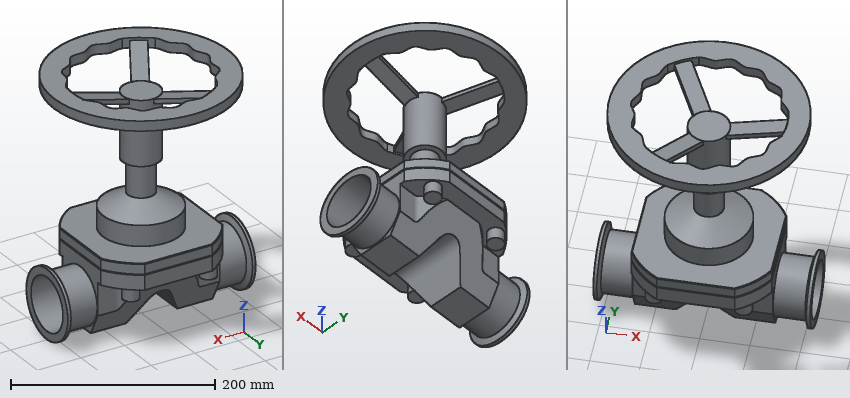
import cadquery as cq
import math

length = 216.0
pipe_diameter = 63.5
bore_diameter = 59.5
ferrule_diameter = 77.5
ferrule_rim = 3.7
ferrule_length = 6.3
pipe_axis_z = ferrule_diameter / 2

body_half_length = 70.0
body_half_width = 33.0
body_bottom_z = 5.3
body_top_z = 66.5
bowl_radius = 56.5
bowl_fillet = 7.4
pick_margin = 0.3
side_lean = 27.5
side_foot_y = 20.0
arch_half_width = 29.5
arch_slope = 60.0
arch_radius = 14.5

bore_depth = length / 2 - body_half_length

flange_half_width = body_half_length
flange_corner_radius = 80.0
seam_z = 83.4
seam_height = 0.8
seam_depth = 0.5
flange_top_z = 95.7
flange_chamfer = 0.8

bolt_diameter = 18.0
bolt_length = 14.2
bolt_x = 44.5
bolt_y = 53.0

bonnet_diameter = 87.0
bonnet_shoulder_z = 118.9
stem_diameter = 30.0
cone_top_z = 134.0
hub_diameter = 42.0
hub_bottom_z = 172.0
hub_top_z = 244.8

wheel_diameter = 199.0
wheel_top_z = 263.0
wheel_thickness = 11.0
lobe_count = 15
lobe_peak_radius = 79.0
lobe_valley_radius = 72.3
lobe_rounding = 10.0
pocket_radius = 77.8
spoke_count = 3
spoke_width = 18.0
spoke_height = 5.3
spoke_slope = 15.0
spoke_overlap = 4.0


def polar(radius, angle):
    """Point at a radius and an angle in degrees."""
    return (radius * math.cos(math.radians(angle)), radius * math.sin(math.radians(angle)))


def cylinder(radius, bottom, top):
    return cq.Workplane("XY").workplane(offset=bottom).circle(radius).extrude(top - bottom)


def make_body():
    """Narrow block with a round bowl, leaning lower sides and an arch underneath."""
    height = body_top_z - body_bottom_z
    block = (
        cq.Workplane("XY")
        .workplane(offset=body_bottom_z)
        .rect(2 * body_half_length, 2 * body_half_width)
        .extrude(height)
    )
    body = block.union(cylinder(bowl_radius, body_bottom_z, body_top_z))
    corner_x = math.sqrt(bowl_radius**2 - body_half_width**2)
    for x in (-corner_x, corner_x):
        for y in (-body_half_width, body_half_width):
            inner_corner = cq.selectors.BoxSelector(
                (x - pick_margin, y - pick_margin, body_bottom_z),
                (x + pick_margin, y + pick_margin, body_top_z),
            )
            body = body.edges(inner_corner).fillet(bowl_fillet)

    side_top_y = side_foot_y + height * math.tan(math.radians(side_lean))
    envelope = (
        cq.Workplane("YZ")
        .polyline([
            (-side_foot_y, body_bottom_z),
            (side_foot_y, body_bottom_z),
            (side_top_y, body_top_z),
            (-side_top_y, body_top_z),
        ])
        .close()
        .extrude(body_half_length, both=True)
    )
    return body.intersect(envelope).cut(make_arch())


def make_arch():
    """Passage along Y under the weir, with straight sides and a round crown."""
    slope = math.radians(arch_slope)
    apex_z = body_bottom_z + arch_half_width * math.tan(slope)
    centre_z = apex_z - arch_radius / math.cos(slope)
    tangent_x = arch_radius * math.sin(slope)
    tangent_z = centre_z + arch_radius * math.cos(slope)
    return (
        cq.Workplane("XZ")
        .moveTo(-arch_half_width, body_bottom_z)
        .lineTo(-tangent_x, tangent_z)
        .threePointArc((0, centre_z + arch_radius), (tangent_x, tangent_z))
        .lineTo(arch_half_width, body_bottom_z)
        .close()
        .extrude(bowl_radius, both=True)
    )


def flange_plate(bottom, top, inset=0.0):
    """Square plate whose corners lie on a circle around the valve axis."""
    side = 2 * (flange_half_width - inset)
    square = cq.Workplane("XY").workplane(offset=bottom).rect(side, side).extrude(top - bottom)
    return square.intersect(cylinder(flange_corner_radius - inset, bottom, top))


def make_flanges():
    seam_bottom = seam_z - seam_height / 2
    seam_top = seam_z + seam_height / 2
    lower = flange_plate(body_top_z, seam_bottom)
    seam = flange_plate(seam_bottom, seam_top, seam_depth)
    upper = flange_plate(seam_top, flange_top_z).faces(">Z").chamfer(flange_chamfer)
    return lower.union(seam).union(upper)


def make_bolts():
    return (
        cq.Workplane("XY")
        .workplane(offset=body_top_z)
        .rect(2 * bolt_x, 2 * bolt_y, forConstruction=True)
        .vertices()
        .circle(bolt_diameter / 2)
        .extrude(-bolt_length)
    )


def make_pipe_end():
    """Pipe and clamp ferrule on the -X side, as a turned profile."""
    end_x = -length / 2
    pipe_radius = pipe_diameter / 2
    ferrule_radius = ferrule_diameter / 2
    return (
        cq.Workplane("XY")
        .polyline([
            (end_x, 0),
            (end_x, ferrule_radius),
            (end_x + ferrule_rim, ferrule_radius),
            (end_x + ferrule_length, pipe_radius),
            (-body_half_length, pipe_radius),
            (-body_half_length, 0),
        ])
        .close()
        .revolve(360, (0, 0), (1, 0))
        .translate((0, 0, pipe_axis_z))
    )


def make_bore():
    """Blind bore entering from the -X end."""
    return (
        cq.Workplane("YZ", origin=(-length / 2, 0, pipe_axis_z))
        .circle(bore_diameter / 2)
        .extrude(bore_depth)
    )


def make_bonnet_and_stem():
    """Bonnet, cone, stem and wheel hub, turned around Z."""
    return (
        cq.Workplane("XZ")
        .polyline([
            (0, flange_top_z),
            (bonnet_diameter / 2, flange_top_z),
            (bonnet_diameter / 2, bonnet_shoulder_z),
            (stem_diameter / 2, cone_top_z),
            (stem_diameter / 2, hub_bottom_z),
            (hub_diameter / 2, hub_bottom_z),
            (hub_diameter / 2, hub_top_z),
            (0, hub_top_z),
        ])
        .close()
        .revolve(360, (0, 0), (0, 1))
    )


def make_wheel_rim():
    """Ring with a rounded zigzag inner edge and a wider pocket at each spoke."""
    bottom = wheel_top_z - wheel_thickness
    step = 180 / lobe_count
    corners = []
    for lobe in range(lobe_count):
        valley = 2 * step * lobe
        corners.append(polar(lobe_valley_radius, valley))
        corners.append(polar(lobe_peak_radius, valley + step))
    opening = (
        cq.Workplane("XY")
        .workplane(offset=bottom)
        .polyline(corners)
        .close()
        .extrude(wheel_thickness)
        .edges("|Z")
        .fillet(lobe_rounding)
    )
    rim = cylinder(wheel_diameter / 2, bottom, wheel_top_z).cut(opening)

    for angle in spoke_angles():
        pocket = (
            cq.Workplane("XY")
            .workplane(offset=bottom)
            .lineTo(*polar(pocket_radius, angle - step))
            .threePointArc(polar(pocket_radius, angle), polar(pocket_radius, angle + step))
            .close()
            .extrude(wheel_thickness)
        )
        rim = rim.cut(pocket)
    return rim


def spoke_angles():
    return [360 / spoke_count * spoke for spoke in range(spoke_count)]


def make_spokes():
    """Flat bars rising from the hub to the rim."""
    hub_edge = hub_diameter / 2
    inner = hub_edge - spoke_overlap
    outer = pocket_radius + spoke_overlap
    rise = math.tan(math.radians(spoke_slope))
    inner_top = hub_top_z + (inner - hub_edge) * rise
    outer_top = hub_top_z + (outer - hub_edge) * rise
    spoke = (
        cq.Workplane("XZ")
        .polyline([
            (inner, inner_top - spoke_height),
            (outer, outer_top - spoke_height),
            (outer, outer_top),
            (inner, inner_top),
        ])
        .close()
        .extrude(spoke_width / 2, both=True)
    )
    spokes = spoke
    for angle in spoke_angles()[1:]:
        spokes = spokes.union(spoke.rotate((0, 0, 0), (0, 0, 1), angle))
    return spokes


pipe_end = make_pipe_end()
bore = make_bore()
result = make_body().union(make_flanges()).union(make_bolts()).union(make_bonnet_and_stem())
result = result.union(pipe_end).union(pipe_end.mirror("YZ"))
result = result.cut(bore).cut(bore.mirror("YZ"))
result = result.union(make_wheel_rim()).union(make_spokes())